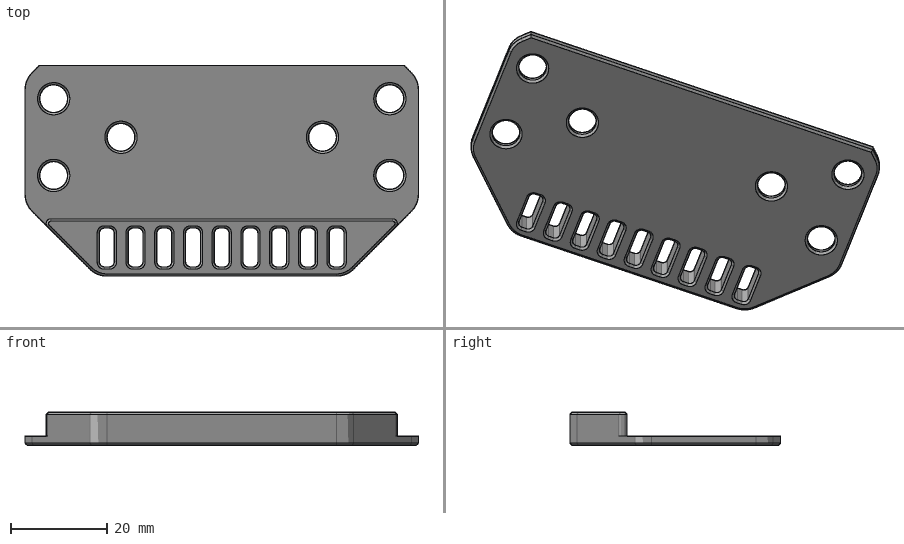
import cadquery as cq

length = 82.0
depth = 43.95
plate_height = 2.0
front_corner_cut = 15.0
back_corner_cut = 3.0
outline_radius = 5.0

total_height = 7.0
bar_depth = 12.0
bar_tip_radius = 1.0

edge_chamfer = 0.5

hole_diameter = 5.7
countersink_angle = 90.0
outer_hole_x = 35.0
outer_hole_ys = (15.0, -1.0)
inner_hole_x = 21.0
inner_hole_y = 7.0

slot_count = 9
slot_pitch = 6.0
slot_width = 3.0
slot_length = 8.0
slot_radius = 1.0

half_length = length / 2
half_depth = depth / 2
bar_back_y = bar_depth - half_depth
slot_y = (bar_back_y - half_depth) / 2


def outline_prism(height):
    """Plate outline with cut corners, extruded up from Z = 0."""
    right_side = [
        (half_length - front_corner_cut, -half_depth),
        (half_length, front_corner_cut - half_depth),
        (half_length, half_depth - back_corner_cut),
        (half_length - back_corner_cut, half_depth),
    ]
    left_side = [(-x, y) for x, y in reversed(right_side)]
    prism = cq.Workplane("XY").polyline(right_side + left_side).close().extrude(height)
    return prism.edges("|Z and (not >Y)").fillet(outline_radius)


def front_bar():
    """Full-height front strip with rounded tips and a chamfered top rim."""
    strip = cq.Workplane("XY").box(length, bar_depth, total_height, centered=(True, True, False))
    bar = outline_prism(total_height).intersect(strip.translate((0, slot_y, 0)))
    bar = bar.edges("|Z and >Y").fillet(bar_tip_radius)
    return bar.faces(">Z").chamfer(edge_chamfer)


body = outline_prism(plate_height).union(front_bar())

right_holes = [(inner_hole_x, inner_hole_y)] + [(outer_hole_x, y) for y in outer_hole_ys]
left_holes = [(-x, y) for x, y in right_holes]
body = (
    body.copyWorkplane(cq.Workplane("XY", origin=(0, 0, plate_height)))
    .pushPoints(right_holes + left_holes)
    .cskHole(hole_diameter, hole_diameter + 2 * edge_chamfer, countersink_angle)
)

slots = (
    cq.Workplane("XY")
    .center(0, slot_y)
    .rarray(slot_pitch, 0.8, slot_count, 1)
    .rect(slot_width, slot_length)
    .extrude(total_height)
    .edges("|Z")
    .fillet(slot_radius)
)
body = body.cut(slots)
slot_mouths = [edge for wire in body.faces(">Z").val().innerWires() for edge in wire.Edges()]
body = body.newObject(slot_mouths).chamfer(edge_chamfer)

result = body.faces("<Z").chamfer(edge_chamfer)